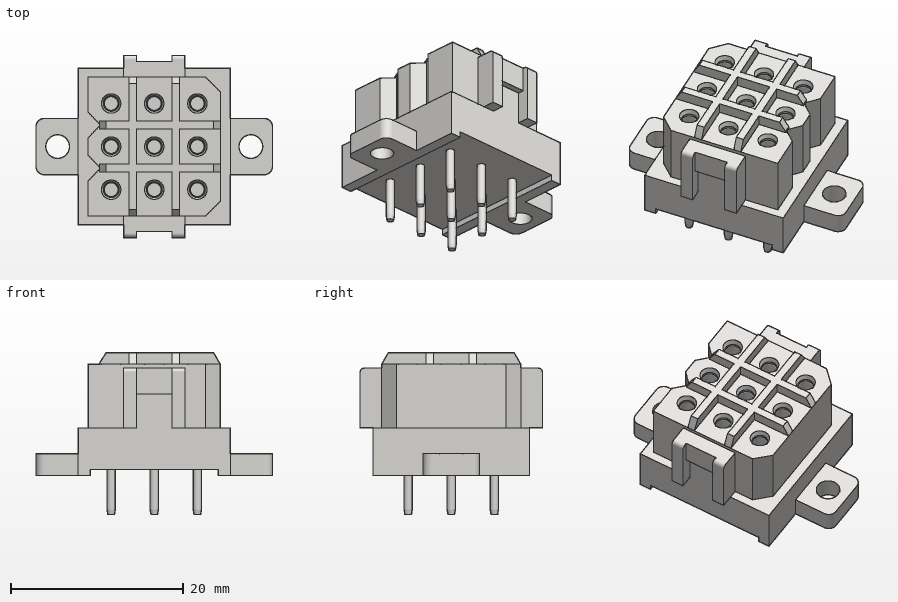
import cadquery as cq
import math

pitch = 5.0
positions = [(column * pitch, row * pitch) for column in (-1, 0, 1) for row in (-1, 0, 1)]

base_x = 17.65
base_y = 18.2
base_top = 5.55
recess_x = 14.85
recess_depth = 0.72

overall_x = 27.5
ear_y = 6.57
ear_height = 2.55
ear_corner_radius = 1.0
ear_hole_diameter = 2.72
ear_hole_x = 11.22

body_x = 15.35
body_y = 16.17
body_top = 12.95
corner_chamfer = 1.73
notch_depth = 1.32
notch_half_width = 1.48
notch_floor_half_width = 0.1

wall_top = 14.3
wall_thickness = 0.9
wall_slope_run = 0.77
wall_lip = 0.16

overall_y = 21.2
latch_x = 7.1
latch_gap = 4.07
latch_top = 12.5
bar_bottom = 9.52
bar_setback = 0.72
rail_round = 0.5

entry_diameter = 2.25
entry_depth = 0.55
socket_diameter = 1.82
socket_depth = 0.82
mouth_round = 0.1
bore_diameter = socket_diameter - 2 * mouth_round
bore_depth = 5.5
head_bottom = base_top
pin_diameter = 1.0
pin_tip_diameter = 0.8
pin_tip_length = 0.58
pin_bottom = -4.5


def block(size_x, size_y, bottom, top):
    """Box centred on the Z axis between two heights."""
    return cq.Workplane("XY").workplane(offset=bottom).rect(size_x, size_y).extrude(top - bottom)


def make_base():
    base = block(base_x, base_y, 0, base_top)
    return base.cut(block(recess_x, base_y, 0, recess_depth))


def make_ears():
    strip = block(overall_x, ear_y, 0, ear_height).edges("|Z").fillet(ear_corner_radius)
    strip = strip.cut(block(base_x, ear_y, 0, ear_height))
    holes = (
        cq.Workplane("XY")
        .pushPoints([(-ear_hole_x, 0), (ear_hole_x, 0)])
        .circle(ear_hole_diameter / 2)
        .extrude(ear_height)
    )
    return strip.cut(holes)


def make_notch(y):
    """Key notch in the -X face, with slanting flanks and a narrow floor."""
    face_x = -body_x / 2
    floor_x = face_x + notch_depth
    return (
        cq.Workplane("XY")
        .workplane(offset=base_top)
        .polyline([
            (face_x, y - notch_half_width),
            (floor_x, y - notch_floor_half_width),
            (floor_x, y + notch_floor_half_width),
            (face_x, y + notch_half_width),
        ])
        .close()
        .extrude(body_top - base_top)
    )


def make_plug_body():
    body = block(body_x, body_y, base_top, body_top)
    body = body.edges("|Z and >X").chamfer(corner_chamfer)
    for y in (-pitch / 2, pitch / 2):
        body = body.cut(make_notch(y))
    return body


def make_wall_along_x(y):
    """Wall from the notch floor to the +X face; a low upright lip at the notch end."""
    start = -body_x / 2 + notch_depth
    end = body_x / 2
    return (
        cq.Workplane("XZ", origin=(0, y, 0))
        .polyline([
            (start, body_top),
            (end, body_top),
            (end - wall_slope_run, wall_top),
            (start + wall_slope_run, wall_top),
            (start, body_top + wall_lip),
        ])
        .close()
        .extrude(wall_thickness / 2, both=True)
    )


def make_wall_along_y(x):
    end = body_y / 2
    return (
        cq.Workplane("YZ", origin=(x, 0, 0))
        .polyline([
            (-end, body_top),
            (end, body_top),
            (end - wall_slope_run, wall_top),
            (-end + wall_slope_run, wall_top),
        ])
        .close()
        .extrude(wall_thickness / 2, both=True)
    )


def make_latches():
    """Latch blocks on both Y sides: two rails joined at the top by a set-back bar."""
    latches = block(latch_x, overall_y, base_top, latch_top)
    latches = latches.edges("|X and >Z").fillet(rail_round)
    bar_y = overall_y - 2 * bar_setback
    gap = block(latch_gap, overall_y, base_top, latch_top)
    gap = gap.cut(block(latch_gap, bar_y, bar_bottom, latch_top))
    gap = gap.cut(block(latch_gap, base_y, base_top, bar_bottom))
    return latches.cut(gap)


def make_pin():
    """Contact turned about its axis: socket head with a round-mouthed bore, shank and tapered tip."""
    head_top = body_top - socket_depth
    head_radius = socket_diameter / 2
    bore_radius = bore_diameter / 2
    shank_radius = pin_diameter / 2
    bore_bottom = head_top - bore_depth
    return (
        cq.Workplane("XZ")
        .polyline([
            (0, pin_bottom),
            (pin_tip_diameter / 2, pin_bottom),
            (shank_radius, pin_bottom + pin_tip_length),
            (shank_radius, head_bottom),
            (head_radius, head_bottom),
            (head_radius, head_top),
        ])
        .radiusArc((bore_radius, head_top - mouth_round), -mouth_round)
        .lineTo(bore_radius, bore_bottom)
        .lineTo(0, bore_bottom)
        .close()
        .revolve(360, (0, 0, 0), (0, 1, 0))
    )


def make_pin_cavities():
    """Stepped through holes that fit the pins: tapered entry, wide for the head, narrow for the shank."""
    sockets = (
        cq.Workplane("XY")
        .workplane(offset=head_bottom)
        .pushPoints(positions)
        .circle(socket_diameter / 2)
        .extrude(body_top - head_bottom)
    )
    entry_taper = math.degrees(math.atan2((entry_diameter - socket_diameter) / 2, entry_depth))
    entries = (
        cq.Workplane("XY")
        .workplane(offset=body_top)
        .pushPoints(positions)
        .circle(entry_diameter / 2)
        .extrude(-entry_depth, taper=entry_taper)
    )
    shank_holes = cq.Workplane("XY").pushPoints(positions).circle(pin_diameter / 2).extrude(head_bottom)
    return sockets.union(entries).union(shank_holes)


def make_housing():
    housing = make_base().union(make_ears()).union(make_latches()).union(make_plug_body())
    for offset in (-pitch / 2, pitch / 2):
        housing = housing.union(make_wall_along_x(offset))
        housing = housing.union(make_wall_along_y(offset))
    return housing.cut(make_pin_cavities())


housing = make_housing()
pins = [make_pin().translate((x, y, 0)) for x, y in positions]

result = cq.Compound.makeCompound([housing.solids().val(), *[pin.val() for pin in pins]])